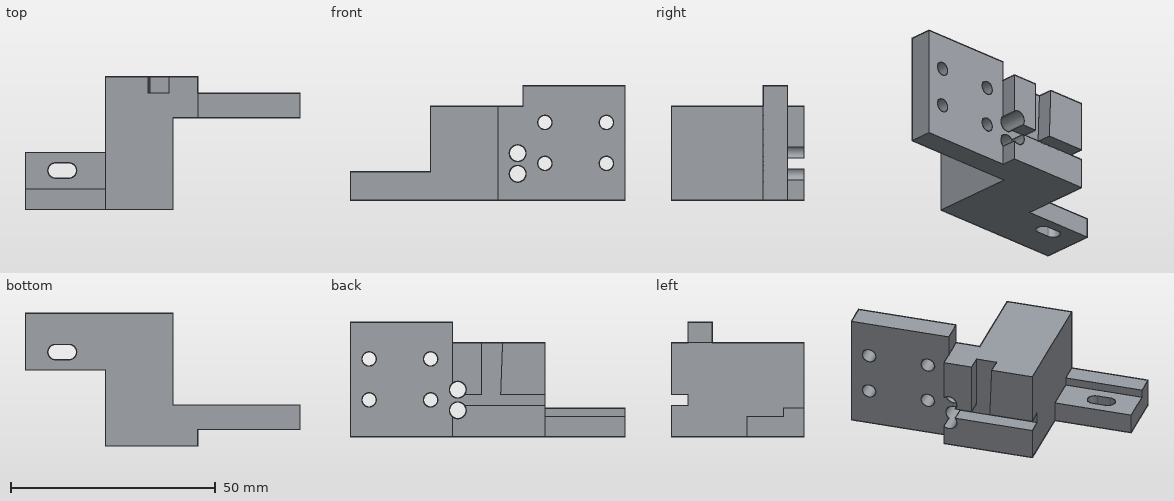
import cadquery as cq

length = 67.0
depth = 32.4
height = 28.0

block_left = 19.5
block_right = 36.05
block_height = 23.0
wing_right = 42.1

plate_front = 22.4
plate_thickness = 6.0

tab_depth = 13.95
tab_height = 7.05
ledge_height = 5.0
ledge_front = 5.0
slot_center_x = 9.0
slot_center_y = 9.5
slot_length = 7.0
slot_width = 3.7

groove_depth = 4.0
groove_bottom = 7.7
groove_height = 2.6
notch_left = 29.9
notch_width = 5.1
notch_taper = 0.5

fixing_diameter = 3.4
fixing_pitch_x = 15.0
fixing_pitch_z = 10.0
fixing_x = 47.45
fixing_z = 9.05
pin_diameter = 4.0
pin_pitch = 5.0
pin_x = 40.8
pin_z = 6.5


def box(x_range, y_range, z_range):
    """Box spanning the given (start, end) range on each axis."""
    sizes = [end - start for start, end in (x_range, y_range, z_range)]
    corner = (x_range[0], y_range[0], z_range[0])
    return cq.Workplane("XY").box(*sizes, centered=False).translate(corner)


def hole_along_y(x, z, diameter):
    """Cylinder through the full depth of the part."""
    return cq.Workplane("XZ", origin=(x, 0, z)).circle(diameter / 2).extrude(-depth)


def make_body():
    block = box((block_left, block_right), (0, depth), (0, block_height))
    wing = box((block_right, wing_right), (plate_front, depth), (0, block_height))
    plate_y = (plate_front, plate_front + plate_thickness)
    low_plate = box((block_right, length), plate_y, (0, block_height))
    high_plate = box((wing_right, length), plate_y, (0, height))
    return block.union(wing).union(low_plate).union(high_plate)


def make_tab():
    tab = box((0, block_left), (0, tab_depth), (0, tab_height))
    ledge = box((0, block_left), (ledge_front, tab_depth), (ledge_height, tab_height))
    slot = (
        cq.Workplane("XY")
        .center(slot_center_x, slot_center_y)
        .slot2D(slot_length, slot_width)
        .extrude(tab_height)
    )
    return tab.cut(ledge).cut(slot)


def make_back_grooves():
    back_y = (depth - groove_depth, depth)
    groove_top = groove_bottom + groove_height
    groove = box((block_left, wing_right), back_y, (groove_bottom, groove_top))
    notch_right = notch_left + notch_width
    notch_outline = [
        (notch_left, block_height),
        (notch_right, block_height),
        (notch_right, groove_top),
        (notch_left + notch_taper, groove_top),
    ]
    notch = cq.Workplane("XZ", origin=(0, depth, 0)).polyline(notch_outline).close().extrude(groove_depth)
    return groove.union(notch)


result = make_body().union(make_tab()).cut(make_back_grooves())

for column in range(2):
    for row in range(2):
        hole_x = fixing_x + column * fixing_pitch_x
        hole_z = fixing_z + row * fixing_pitch_z
        result = result.cut(hole_along_y(hole_x, hole_z, fixing_diameter))

for row in range(2):
    result = result.cut(hole_along_y(pin_x, pin_z + row * pin_pitch, pin_diameter))